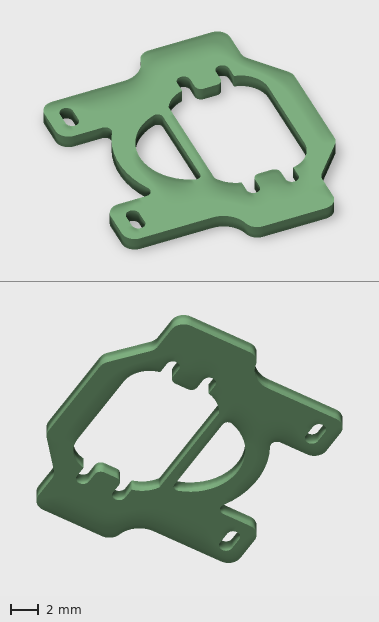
import cadquery as cq
import math

width = 20.58
height = 18.07
thickness = 1.0
corner_radius = 1.0
half_width = width / 2

shoulder_y = 15.5
crown_half_width = 3.95
slope_foot_x = 7.0

shoulder_arc_y = 9.57
waist_radius = 2.0

leg_outer_x = 7.99
leg_width = 4.0
leg_inner_x = leg_outer_x - leg_width
arch_bottom_y = 2.8
arch_radius = 6.63
arch_fillet = 0.5

slot_width = 1.0
slot_length = 2.02
foot_slot_x = leg_outer_x - leg_width / 2
foot_slot_y = 1.5

window_top_y = 15.87
window_bottom_y = 8.45
upper_arc_radius = 2.16
upper_arc_x = 3.21
lower_arc_radius = 2.47
lower_arc_x = 2.96
upper_arc_y = window_top_y - upper_arc_radius
lower_arc_y = 10.62
notch_end_x = 6.77
notch_centre_ys = (13.58, 10.55)
tab_tip_x = 4.95
tab_radius = 0.5

d_top_y = 7.68
d_bottom_y = 4.42
d_radius = 3.95
d_fillet = 0.41


def extrude_mirrored(half):
    """Extrude a right-hand half profile and join its mirror image."""
    body = half.extrude(thickness)
    return body.union(body.mirror("YZ")).clean()


def make_plate():
    shoulder_arc_x = half_width - corner_radius
    waist_x = leg_outer_x + waist_radius
    offset_x = waist_x - shoulder_arc_x
    centre_distance = corner_radius + waist_radius
    drop = math.sqrt(centre_distance**2 - offset_x**2)
    waist_y = shoulder_arc_y - drop
    touch_x = shoulder_arc_x + offset_x * corner_radius / centre_distance
    touch_y = shoulder_arc_y - drop * corner_radius / centre_distance
    arch_centre_y = arch_bottom_y + arch_radius
    arch_end_y = arch_centre_y - math.sqrt(arch_radius**2 - leg_inner_x**2)

    half = (
        cq.Workplane("XY")
        .moveTo(0, arch_bottom_y)
        .radiusArc((leg_inner_x, arch_end_y), -arch_radius)
        .lineTo(leg_inner_x, 0)
        .lineTo(leg_outer_x, 0)
        .lineTo(leg_outer_x, waist_y)
        .radiusArc((touch_x, touch_y), waist_radius)
        .radiusArc((half_width, shoulder_arc_y), -corner_radius)
        .lineTo(half_width, shoulder_y)
        .lineTo(slope_foot_x, shoulder_y)
        .lineTo(crown_half_width, height)
        .lineTo(0, height)
        .close()
    )
    plate = extrude_mirrored(half)
    rounded_corners = (
        (leg_inner_x, 0),
        (leg_outer_x, 0),
        (half_width, shoulder_y),
        (slope_foot_x, shoulder_y),
        (crown_half_width, height),
    )
    for x, y in rounded_corners:
        plate = fillet_pair(plate, x, y, corner_radius)
    return fillet_pair(plate, leg_inner_x, arch_end_y, arch_fillet)


def fillet_pair(body, x, y, radius):
    """Round the upright edges at (x, y) and (-x, y)."""
    for side in (1, -1):
        edge = cq.selectors.NearestToPointSelector((side * x, y, thickness / 2))
        body = body.edges("|Z").edges(edge).fillet(radius)
    return body


def arc_x(centre_x, centre_y, radius, y):
    """X of the right side of a circle at height y."""
    return centre_x + math.sqrt(radius**2 - (y - centre_y) ** 2)


def make_window():
    upper_notch_y, lower_notch_y = notch_centre_ys
    notch_top_y = upper_notch_y + slot_width / 2
    notch_bottom_y = lower_notch_y - slot_width / 2
    lower_arc_bottom_x = arc_x(lower_arc_x, lower_arc_y, lower_arc_radius, window_bottom_y)
    lower_arc_top_x = arc_x(lower_arc_x, lower_arc_y, lower_arc_radius, notch_bottom_y)
    upper_arc_start_x = arc_x(upper_arc_x, upper_arc_y, upper_arc_radius, notch_top_y)
    half = (
        cq.Workplane("XY")
        .moveTo(0, window_bottom_y)
        .lineTo(lower_arc_bottom_x, window_bottom_y)
        .radiusArc((lower_arc_top_x, notch_bottom_y), -lower_arc_radius)
        .lineTo(tab_tip_x, notch_bottom_y)
        .lineTo(tab_tip_x, notch_top_y)
        .lineTo(upper_arc_start_x, notch_top_y)
        .radiusArc((upper_arc_x, window_top_y), -upper_arc_radius)
        .lineTo(0, window_top_y)
        .close()
    )
    window = extrude_mirrored(half)

    notches = (
        cq.Workplane("XY")
        .pushPoints([(0, y) for y in notch_centre_ys])
        .slot2D(2 * notch_end_x, slot_width)
        .extrude(thickness)
    )
    window = window.union(notches)
    window = fillet_pair(window, tab_tip_x, upper_notch_y - slot_width / 2, tab_radius)
    return fillet_pair(window, tab_tip_x, lower_notch_y + slot_width / 2, tab_radius)


def make_d_window():
    centre_y = d_bottom_y + d_radius
    corner_x = math.sqrt(d_radius**2 - (d_top_y - centre_y) ** 2)
    half = (
        cq.Workplane("XY")
        .moveTo(0, d_bottom_y)
        .radiusArc((corner_x, d_top_y), -d_radius)
        .lineTo(0, d_top_y)
        .close()
    )
    return fillet_pair(extrude_mirrored(half), corner_x, d_top_y, d_fillet)


def make_foot_slots():
    return (
        cq.Workplane("XY")
        .pushPoints([(-foot_slot_x, foot_slot_y), (foot_slot_x, foot_slot_y)])
        .slot2D(slot_length, slot_width)
        .extrude(thickness)
    )


result = make_plate().cut(make_window()).cut(make_d_window()).cut(make_foot_slots())